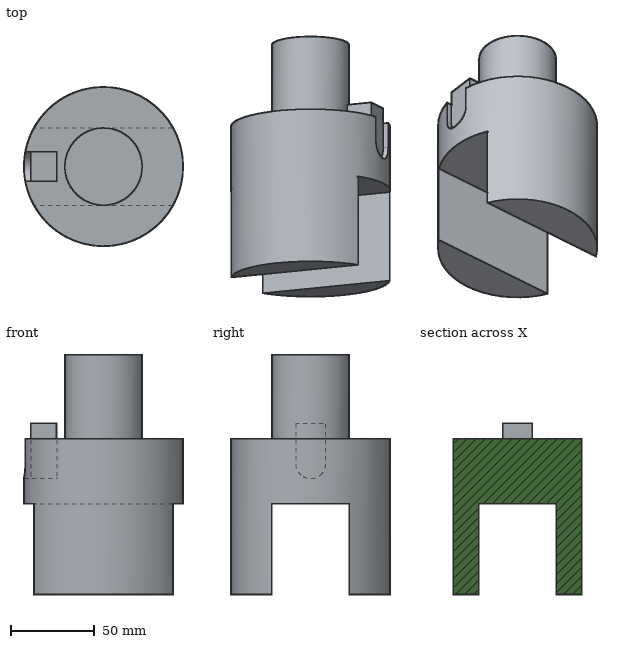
import cadquery as cq

total_height = 143.0
body_diameter = 95.0
body_height = 93.0

shaft_diameter = 46.0
shaft_height = total_height - body_height

fork_slot_width = shaft_diameter
fork_slot_height = 54.0

key_width = 17.7
key_bottom = 69.2
key_top = 102.1
key_outer_x = -43.5
key_thickness = 15.6
key_inner_x = key_outer_x + key_thickness


def key_prism(outer_x, top):
    """Solid with a half-round lower end, from outer_x inward to the keyway floor."""
    half_width = key_width / 2
    arc_center_z = key_bottom + half_width
    return (
        cq.Workplane("YZ", origin=(outer_x, 0, 0))
        .moveTo(-half_width, top)
        .lineTo(-half_width, arc_center_z)
        .threePointArc((0, key_bottom), (half_width, arc_center_z))
        .lineTo(half_width, top)
        .close()
        .extrude(key_inner_x - outer_x)
    )


def make_body():
    """Cylinder with a fork slot below and a keyway open to its side and top."""
    cylinder = cq.Workplane("XY").circle(body_diameter / 2).extrude(body_height)
    fork_slot = cq.Workplane("XY").rect(body_diameter, fork_slot_width).extrude(fork_slot_height)
    keyway = key_prism(-body_diameter / 2, body_height)
    return cylinder.cut(fork_slot).cut(keyway)


def make_shaft():
    """Plain round shaft on the axis of the body."""
    return (
        cq.Workplane("XY", origin=(0, 0, body_height))
        .circle(shaft_diameter / 2)
        .extrude(shaft_height)
    )


def make_key():
    """Key seated in the keyway, set back from the side and standing above the top."""
    return key_prism(key_outer_x, key_top)


body = make_body()
shaft = make_shaft()
key = make_key()

result = cq.Compound.makeCompound([body.val(), shaft.val(), key.val()])